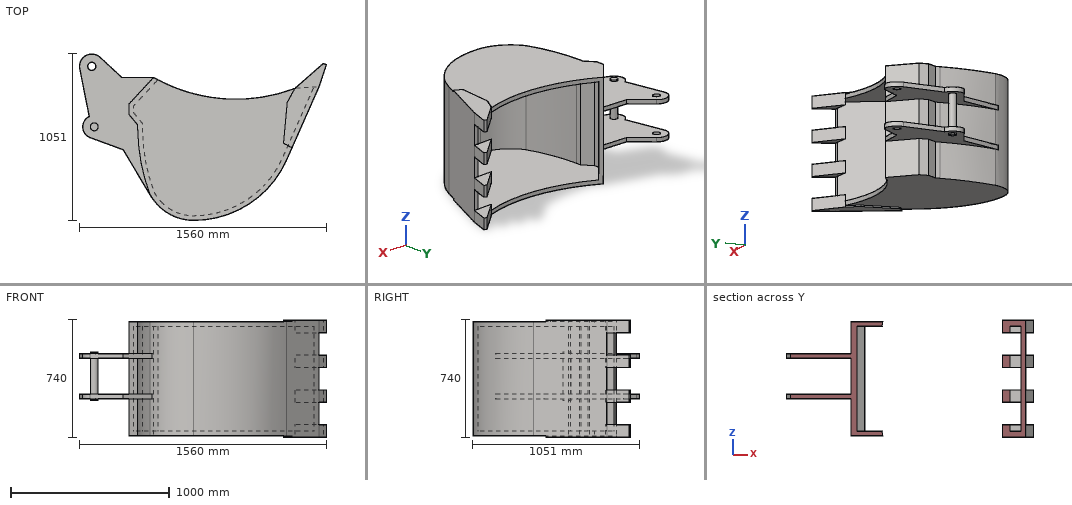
import cadquery as cq
import math


overall_width = 740.0
cutter_thickness = 10.0
body_width = overall_width - 2 * cutter_thickness
wall = 30.0

back_lip = (468.0, 903.0)
back_upper = (312.0, 735.0)
back_lower = (312.0, 671.0)
step_upper = (368.0, 602.0)
step_lower = (368.0, 573.0)
back_arc_mid = (388.0, 370.0)
bowl_start = (445.0, 167.0)
bowl_bottom = (720.0, 0.0)
bowl_end = (1307.0, 379.0)
blade_edge = (1513.0, 844.0)
mouth_end = (1360.0, 835.0)
mouth_arc_mid = (983.0, 766.0)
mouth_clearance = 312.0

tip_upper = (1540.0, 992.0)
tip_outer = (1560.0, 985.0)
cutter_shoulder = (1312.0, 745.0)
cutter_heel = (1289.0, 488.0)
cutter_foot_y = 459.0
tooth_count = 4
tooth_width = 80.0
tooth_pitch = (overall_width - tooth_width) / (tooth_count - 1)

ear_thickness = 30.0
ear_spacing = 256.0
ear_pair_z = 15.0
upper_lobe_radius = 78.0
upper_lobe = (upper_lobe_radius, 973.0)
lower_lobe_radius = 73.0
lower_lobe = (94.0, 591.0)
ear_notch = (61.0, 658.0)
ear_top_corner = (268.0, back_lip[1])
ear_bottom_corner = (276.0, 446.0)
ear_tail = (457.0, 142.0)
pin_radius = 25.0
pin_overhang = 10.0


def plate(profile, thickness, middle_z=0.0):
    """Extrude a closed XY profile, centred on the height middle_z."""
    return profile.extrude(thickness / 2, both=True).translate((0, 0, middle_z))


def disc(centre, radius, thickness, middle_z=0.0):
    return plate(cq.Workplane("XY").center(*centre).circle(radius), thickness, middle_z)


def beyond(start, end, distance):
    """Point on the line from start to end, the given distance past end."""
    stretch = 1 + distance / math.dist(start, end)
    return tuple(a + (b - a) * stretch for a, b in zip(start, end))


def bottom_tangent_arc_mid(end):
    """Middle point of the arc that is level at the bowl bottom and ends at end."""
    across = end[0] - bowl_bottom[0]
    rise = end[1] - bowl_bottom[1]
    radius = (across**2 + rise**2) / (2 * rise)
    half_angle = math.atan2(across, radius - rise) / 2
    return (
        bowl_bottom[0] + radius * math.sin(half_angle),
        bowl_bottom[1] + radius * (1 - math.cos(half_angle)),
    )


def tangent_point(outside, centre, radius, side):
    """Where a line from an outside point touches a circle; side is +1 or -1."""
    towards = math.atan2(outside[1] - centre[1], outside[0] - centre[0])
    angle = towards + side * math.acos(radius / math.dist(outside, centre))
    return (centre[0] + radius * math.cos(angle), centre[1] + radius * math.sin(angle))


def shell_path(start, end):
    """Outer line of the shell plate, from the back lip round the bowl to the blade."""
    return (
        cq.Workplane("XY")
        .moveTo(*start)
        .lineTo(*back_upper)
        .lineTo(*back_lower)
        .lineTo(*step_upper)
        .lineTo(*step_lower)
        .threePointArc(back_arc_mid, bowl_start)
        .threePointArc(bottom_tangent_arc_mid(bowl_start), bowl_bottom)
        .threePointArc(bottom_tangent_arc_mid(bowl_end), bowl_end)
        .lineTo(*end)
    )


def filled_body():
    profile = shell_path(back_lip, blade_edge).lineTo(*mouth_end)
    profile = profile.threePointArc(mouth_arc_mid, back_lip).close()
    return plate(profile, body_width)


def cavity():
    """Inside of the bucket, carried on past the mouth so that it cuts it open."""
    back_end = beyond(back_upper, back_lip, mouth_clearance)
    blade_end = beyond(bowl_end, blade_edge, mouth_clearance)
    profile = shell_path(back_end, blade_end).close().offset2D(-wall, "intersection")
    return plate(profile, body_width - 2 * wall)


def side_cutter(side):
    blade_run = (blade_edge[0] - bowl_end[0]) / (blade_edge[1] - bowl_end[1])
    cutter_foot = (bowl_end[0] + blade_run * (cutter_foot_y - bowl_end[1]), cutter_foot_y)
    outline = [mouth_end, cutter_shoulder, cutter_heel, cutter_foot, blade_edge, tip_outer, tip_upper]
    profile = cq.Workplane("XY").polyline(outline).close()
    return plate(profile, cutter_thickness, side * (body_width + cutter_thickness) / 2)


def tooth(middle_z):
    profile = cq.Workplane("XY").polyline([mouth_end, blade_edge, tip_outer, tip_upper]).close()
    return plate(profile, tooth_width, middle_z)


def ear(middle_z):
    """Hanger plate with two round lobes; it runs into the body at its +X side."""
    outline = [
        back_lip,
        ear_top_corner,
        tangent_point(ear_top_corner, upper_lobe, upper_lobe_radius, 1),
        tangent_point(ear_notch, upper_lobe, upper_lobe_radius, -1),
        ear_notch,
        lower_lobe,
        tangent_point(ear_bottom_corner, lower_lobe, lower_lobe_radius, -1),
        ear_bottom_corner,
        ear_tail,
    ]
    web = plate(cq.Workplane("XY").polyline(outline).close(), ear_thickness, middle_z)
    web = web.union(disc(upper_lobe, upper_lobe_radius, ear_thickness, middle_z))
    web = web.union(disc(lower_lobe, lower_lobe_radius, ear_thickness, middle_z))
    return web.cut(disc(upper_lobe, pin_radius, ear_thickness, middle_z))


body = filled_body()
result = body.cut(cavity())

for side in (-1, 1):
    result = result.union(side_cutter(side))
    result = result.union(ear(ear_pair_z + side * ear_spacing / 2).cut(body))

for index in range(tooth_count):
    result = result.union(tooth((index - (tooth_count - 1) / 2) * tooth_pitch))

pin_length = ear_spacing + ear_thickness + 2 * pin_overhang
result = result.union(disc(lower_lobe, pin_radius, pin_length, ear_pair_z))